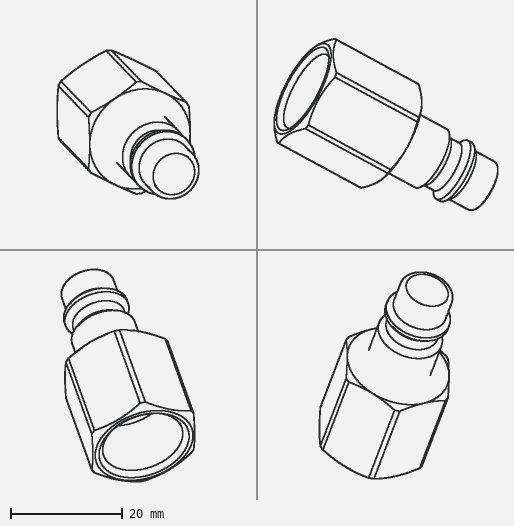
import cadquery as cq
import math

hex_sides = 6
across_flats = 19.0
across_corners = 21.4
hex_length = 19.5
open_face_diameter = 18.25
neck_face_diameter = across_flats
hex_chamfer_angle = 30.0

total_length = 39.5
body_diameter = 12.0
groove_diameter = 9.75
tip_diameter = 9.9
body_end = 27.9
groove_width = 2.28
groove_flank_length = 1.15
groove_flank_radius = 2.75
collar_width = 0.88
neck_fillet = 0.8
tip_fillet = 0.8

bore_diameter = 14.95
bore_depth = 12.0
bore_mouth_diameter = 16.8
bore_mouth_angle = 45.0
drill_point_angle = 120.0
through_diameter = 7.85


def cone_length(large_diameter, small_diameter, angle_from_axis):
    """Axial length of a cone between two diameters."""
    return (large_diameter - small_diameter) / 2 / math.tan(math.radians(angle_from_axis))


def revolve_about_x(profile):
    """Turn a closed profile, drawn as X and radius, about the X axis."""
    return profile.close().revolve(360, (0, 0, 0), (1, 0, 0))


def make_hex_body():
    sharp_corner_diameter = across_flats / math.cos(math.pi / hex_sides)
    prism = (
        cq.Workplane("YZ")
        .transformed(rotate=(0, 0, 90))
        .polygon(hex_sides, sharp_corner_diameter)
        .extrude(hex_length)
    )
    angle_from_axis = 90 - hex_chamfer_angle
    open_chamfer = cone_length(across_corners, open_face_diameter, angle_from_axis)
    neck_chamfer = cone_length(across_corners, neck_face_diameter, angle_from_axis)
    turned_blank = revolve_about_x(
        cq.Workplane("XY")
        .lineTo(0, open_face_diameter / 2)
        .lineTo(open_chamfer, across_corners / 2)
        .lineTo(hex_length - neck_chamfer, across_corners / 2)
        .lineTo(hex_length, neck_face_diameter / 2)
        .lineTo(hex_length, 0)
    )
    return prism.intersect(turned_blank)


def make_plug():
    body_radius = body_diameter / 2
    groove_radius = groove_diameter / 2
    tip_radius = tip_diameter / 2
    groove_start = body_end + groove_flank_length
    groove_end = groove_start + groove_width
    collar_start = groove_end + groove_flank_length
    collar_end = collar_start + collar_width
    tip_start = collar_end + body_radius - tip_radius
    return revolve_about_x(
        cq.Workplane("XY")
        .moveTo(hex_length, 0)
        .lineTo(hex_length, body_radius + neck_fillet)
        .radiusArc((hex_length + neck_fillet, body_radius), -neck_fillet)
        .lineTo(body_end, body_radius)
        .radiusArc((groove_start, groove_radius), -groove_flank_radius)
        .lineTo(groove_end, groove_radius)
        .radiusArc((collar_start, body_radius), -groove_flank_radius)
        .lineTo(collar_end, body_radius)
        .lineTo(tip_start, tip_radius)
        .lineTo(total_length - tip_fillet, tip_radius)
        .radiusArc((total_length, tip_radius - tip_fillet), tip_fillet)
        .lineTo(total_length, 0)
    )


def make_bore():
    mouth_depth = cone_length(bore_mouth_diameter, bore_diameter, bore_mouth_angle)
    point_depth = cone_length(bore_diameter, through_diameter, drill_point_angle / 2)
    return revolve_about_x(
        cq.Workplane("XY")
        .lineTo(0, bore_mouth_diameter / 2)
        .lineTo(mouth_depth, bore_diameter / 2)
        .lineTo(bore_depth, bore_diameter / 2)
        .lineTo(bore_depth + point_depth, through_diameter / 2)
        .lineTo(total_length, through_diameter / 2)
        .lineTo(total_length, 0)
    )


result = make_hex_body().union(make_plug()).cut(make_bore())